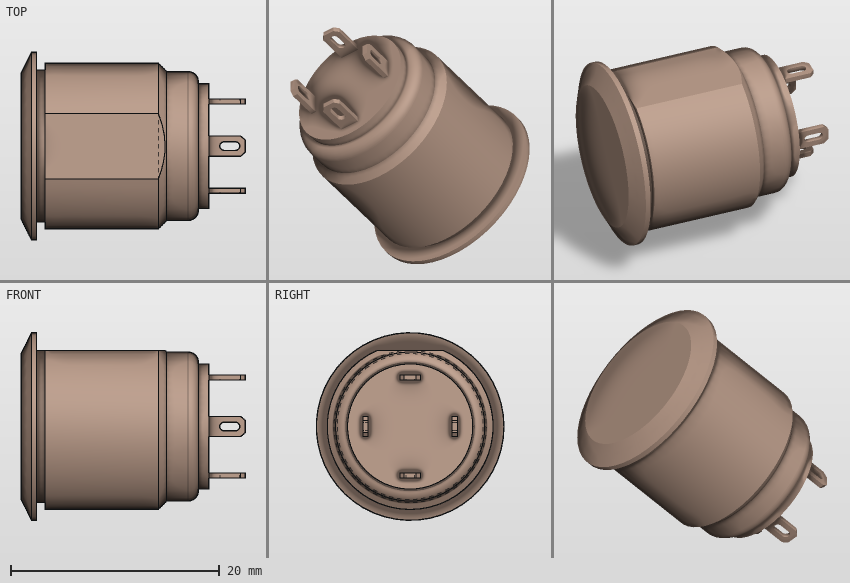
import cadquery as cq

rim_bevel_end = 1.0
flange_back = 1.5
neck_end = 2.3
barrel_end = 13.95
collar_end = 17.0
base_end = 18.0
terminal_tip = 21.5

front_face_diameter = 14.0
flange_diameter = 18.0
neck_diameter = 14.6
barrel_diameter = 15.9
collar_diameter = 14.3
base_diameter = 12.0

barrel_taper = (barrel_diameter - collar_diameter) / 2
collar_fillet = 1.0

flat_height = 7.3

terminal_width = 1.95
terminal_thickness = 0.5
terminal_offset_y = 4.27
terminal_offset_z = 4.7
tip_chamfer_length = 0.45
tip_chamfer_width = 0.4
eye_start = 19.05
eye_length = 1.9
eye_width = 0.8
root_embed = 0.5
terminal_root = base_end - root_embed


def disc(diameter, start, end):
    """Cylinder on the X axis between two X positions."""
    return cq.Workplane("YZ", origin=(start, 0, 0)).circle(diameter / 2).extrude(end - start)


def make_flange():
    """Round bezel whose front edge is bevelled down to the front face."""
    profile = [
        (0, 0),
        (0, front_face_diameter / 2),
        (rim_bevel_end, flange_diameter / 2),
        (flange_back, flange_diameter / 2),
        (flange_back, 0),
    ]
    return cq.Workplane("XY").polyline(profile).close().revolve(360, (0, 0, 0), (1, 0, 0))


def make_barrel():
    """Barrel with a tapered rear end and one flat on top."""
    barrel = disc(barrel_diameter, neck_end, barrel_end).faces(">X").chamfer(barrel_taper)
    below_flat = cq.Workplane("XY").box(
        barrel_end - neck_end,
        barrel_diameter,
        barrel_diameter / 2 + flat_height,
        centered=(False, True, False),
    ).translate((neck_end, 0, -barrel_diameter / 2))
    return barrel.intersect(below_flat)


def make_collar():
    """Rear collar with a rounded back edge."""
    return disc(collar_diameter, barrel_end, collar_end).faces(">X").edges().fillet(collar_fillet)


def make_terminal():
    """Terminal tab lying flat in the XY plane, centred on the X axis."""
    half_width = terminal_width / 2
    tip_half_width = half_width - tip_chamfer_width
    shoulder = terminal_tip - tip_chamfer_length
    outline = [
        (terminal_root, -half_width),
        (shoulder, -half_width),
        (terminal_tip, -tip_half_width),
        (terminal_tip, tip_half_width),
        (shoulder, half_width),
        (terminal_root, half_width),
    ]
    tab = cq.Workplane("XY").polyline(outline).close().extrude(terminal_thickness / 2, both=True)
    eye = (
        cq.Workplane("XY")
        .center(eye_start + eye_length / 2, 0)
        .slot2D(eye_length, eye_width)
        .extrude(terminal_thickness, both=True)
    )
    return tab.cut(eye)


result = (
    make_flange()
    .union(disc(neck_diameter, flange_back, neck_end))
    .union(make_barrel())
    .union(make_collar())
    .union(disc(base_diameter, collar_end, base_end))
)

flat_terminal = make_terminal()
upright_terminal = flat_terminal.rotate((0, 0, 0), (1, 0, 0), 90)
for side in (-1, 1):
    result = result.union(flat_terminal.translate((0, 0, side * terminal_offset_z)))
    result = result.union(upright_terminal.translate((0, side * terminal_offset_y, 0)))